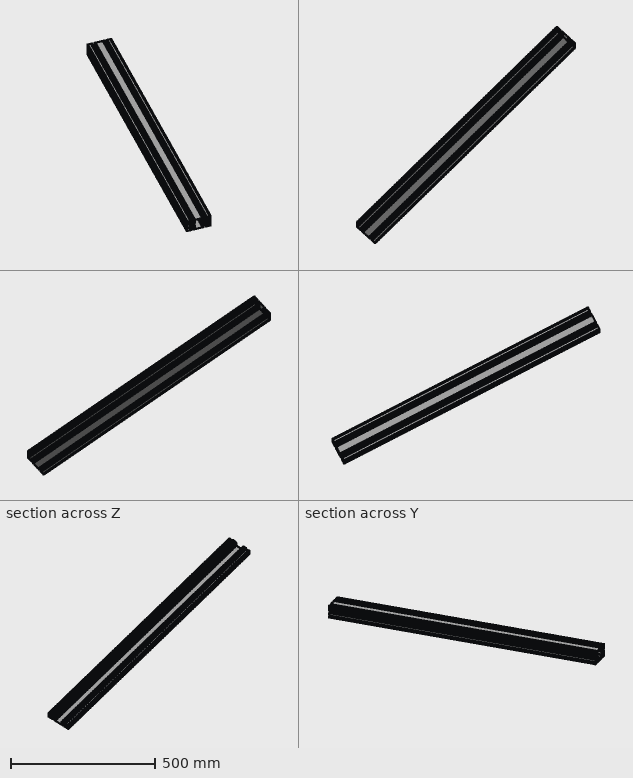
import cadquery as cq

length = 1000.0
width = 90.0
height = 45.0
corner_radius = 2.5
module = height / 2

mouth_half_width = 4.6
neck_half_width = 3.5
mouth_bevel_depth = 0.4
lip_depth = 4.0
lip_root_depth = 5.0
cavity_half_width = 6.5
cavity_depth = 16.0
floor_bevel = 1.5
groove_half_width = 1.0
groove_depth = 0.4

outer_wall = 2.5
pocket_corner = 2.0
pocket_web = 2.0
pocket_bevel = 6.5
bore_diameter = 7.0
chamber_half_width = 13.0
core_half_width = module - cavity_depth
chamber_waist_half_width = module - core_half_width
waist_half_height = 5.0
waist_bevel = 2.0


def extrude_outline(points):
    """Extrude a closed (Y, Z) outline along the whole length."""
    return cq.Workplane("YZ", origin=(-length / 2, 0, 0)).polyline(points).close().extrude(length)


def make_bar():
    bar = cq.Workplane("XY").box(length, width, height)
    return bar.edges("|X").fillet(corner_radius)


def make_slot():
    """T-slot opening at Z = 0 and reaching down, centred on Y = 0."""
    right_side = [
        (mouth_half_width, 0),
        (neck_half_width, -mouth_bevel_depth),
        (neck_half_width, -lip_depth),
        (cavity_half_width, -lip_root_depth),
        (cavity_half_width, floor_bevel - cavity_depth),
        (cavity_half_width - floor_bevel, -cavity_depth),
        (groove_half_width, -cavity_depth),
    ]
    groove_bottom = (0, -cavity_depth - groove_depth)
    left_side = [(-y, z) for y, z in reversed(right_side)]
    return extrude_outline(right_side + [groove_bottom] + left_side)


def make_corner_pocket():
    """Hollow of the +Y +Z corner, bevelled where it faces the core."""
    inner_offset = cavity_half_width + pocket_web
    outer_offset = module - outer_wall
    points = [
        (inner_offset + pocket_bevel, inner_offset),
        (outer_offset, inner_offset),
        (outer_offset, outer_offset - pocket_corner),
        (outer_offset - pocket_corner, outer_offset),
        (inner_offset, outer_offset),
        (inner_offset, inner_offset + pocket_bevel),
    ]
    return extrude_outline([(module + y, z) for y, z in points])


def make_chamber():
    """Central hollow, wider beside the two cores."""
    top = height / 2 - outer_wall
    right_side = [
        (chamber_half_width, top),
        (chamber_half_width, waist_half_height + waist_bevel),
        (chamber_waist_half_width, waist_half_height),
        (chamber_waist_half_width, -waist_half_height),
        (chamber_half_width, -waist_half_height - waist_bevel),
        (chamber_half_width, -top),
    ]
    left_side = [(-y, z) for y, z in reversed(right_side)]
    return extrude_outline(right_side + left_side)


result = make_bar().cut(make_chamber())

slot = make_slot()
pocket = make_corner_pocket()
bore = cq.Workplane("YZ", origin=(-length / 2, 0, 0)).circle(bore_diameter / 2).extrude(length)

for end_angle in (0, 180):
    end_cutters = [bore.translate((0, module, 0)), pocket, pocket.mirror("XY")]
    for slot_angle in (0, 180, -90):
        slot_at_face = slot.translate((0, 0, module))
        turned_slot = slot_at_face.rotate((0, 0, 0), (1, 0, 0), slot_angle)
        end_cutters.append(turned_slot.translate((0, module, 0)))
    for cutter in end_cutters:
        result = result.cut(cutter.rotate((0, 0, 0), (0, 0, 1), end_angle))